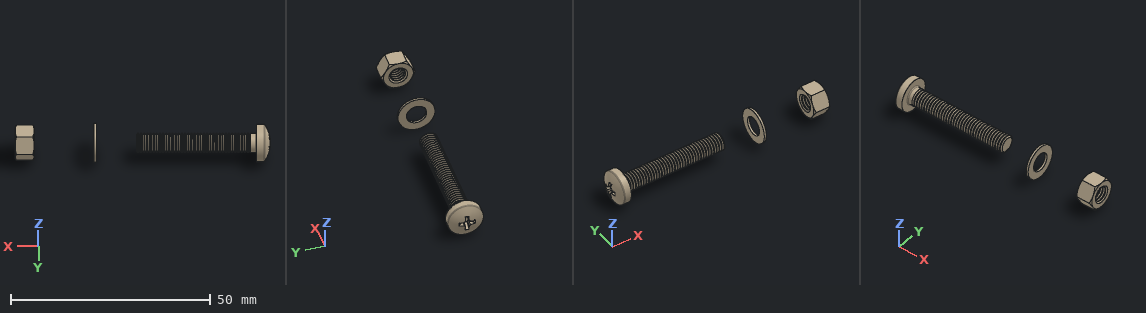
import cadquery as cq
import math

TOTAL_LENGTH = 64.1
DOME_TIP_LOSS = 0.05
START_X = -TOTAL_LENGTH / 2 - DOME_TIP_LOSS
END_X = TOTAL_LENGTH / 2

HEAD_DIAMETER = 9.5
HEAD_HEIGHT = 3.6
DOME_HEIGHT = 1.55
RIM_FILLET = 0.25
NECK_FILLET = 0.25

THREAD_DIAMETER = 4.9
SHAFT_LENGTH = 30.1
PLAIN_SHANK_LENGTH = 1.4
THREAD_DEPTH = 0.45
CREST_WIDTH = 0.2
SCREW_RING_COUNT = 36

RECESS_SPAN = 4.7
RECESS_ARM_WIDTH = 0.95
RECESS_DEPTH = 1.9
RECESS_CORE_DIAMETER = 1.9
RECESS_FLOOR_DIAMETER = 1.7
RECESS_TIP_DEPTH = 0.4

WASHER_DIAMETER = 9.8
WASHER_HOLE_DIAMETER = 5.25
WASHER_THICKNESS = 0.7
WASHER_X = START_X + 43.7

NUT_ACROSS_FLATS = 7.9
NUT_THICKNESS = 4.8
NUT_CHAMFER_ANGLE = 30.0
NUT_RING_COUNT = 6
HEXAGON_SIDES = 6

HEAD_BACK_X = START_X + HEAD_HEIGHT
SHANK_END_X = HEAD_BACK_X + PLAIN_SHANK_LENGTH
SCREW_END_X = HEAD_BACK_X + SHAFT_LENGTH
THREAD_RADIUS = THREAD_DIAMETER / 2
ROOT_RADIUS = THREAD_RADIUS - THREAD_DEPTH
PITCH = (SCREW_END_X - SHANK_END_X + CREST_WIDTH / 2) / (SCREW_RING_COUNT + 0.5)
HALF_GROOVE = (PITCH - CREST_WIDTH) / 2
NUT_X = END_X - NUT_THICKNESS
NUT_CORNER_DIAMETER = NUT_ACROSS_FLATS / math.cos(math.pi / HEXAGON_SIDES)


def revolve_about_x(profile):
    """Turn a closed (x, radius) profile around the X axis."""
    return profile.close().revolve(360, (0, 0, 0), (1, 0, 0))


def make_head():
    """Domed disc whose rim, between the dome and the cylinder, is rounded."""
    head_radius = HEAD_DIAMETER / 2
    rim_x = START_X + DOME_HEIGHT
    dome_radius = (head_radius**2 + DOME_HEIGHT**2) / (2 * DOME_HEIGHT)
    half_angle = math.asin(head_radius / dome_radius) / 2
    dome_middle = (
        START_X + dome_radius * (1 - math.cos(half_angle)),
        dome_radius * math.sin(half_angle),
    )
    profile = (
        cq.Workplane("XY")
        .moveTo(START_X, 0)
        .threePointArc(dome_middle, (rim_x, head_radius))
        .lineTo(HEAD_BACK_X, head_radius)
        .lineTo(HEAD_BACK_X, 0)
    )
    rim = cq.selectors.NearestToPointSelector((rim_x, 0, 0))
    return revolve_about_x(profile).edges(rim).fillet(RIM_FILLET)


def make_shaft():
    """Plain shank with a concave fillet under the head, then a row of thread rings with flat crests."""
    fillet_offset = NECK_FILLET * (1 - math.sqrt(0.5))
    profile = (
        cq.Workplane("XY")
        .moveTo(HEAD_BACK_X, 0)
        .lineTo(HEAD_BACK_X, THREAD_RADIUS + NECK_FILLET)
        .threePointArc(
            (HEAD_BACK_X + fillet_offset, THREAD_RADIUS + fillet_offset),
            (HEAD_BACK_X + NECK_FILLET, THREAD_RADIUS),
        )
        .lineTo(SHANK_END_X, THREAD_RADIUS)
    )
    for ring in range(SCREW_RING_COUNT):
        groove_start_x = SHANK_END_X + ring * PITCH
        profile = profile.lineTo(groove_start_x + HALF_GROOVE, ROOT_RADIUS)
        profile = profile.lineTo(groove_start_x + 2 * HALF_GROOVE, THREAD_RADIUS)
        profile = profile.lineTo(groove_start_x + PITCH, THREAD_RADIUS)
    profile = profile.lineTo(SCREW_END_X, ROOT_RADIUS)
    return revolve_about_x(profile.lineTo(SCREW_END_X, 0))


def make_recess():
    """Cross recess: two crossed wedges that narrow inwards, and a tapered core with a cone tip."""
    core_radius = RECESS_CORE_DIAMETER / 2
    floor_radius = RECESS_FLOOR_DIAMETER / 2
    floor_x = START_X + RECESS_DEPTH
    wedge = (
        cq.Workplane("XY")
        .moveTo(START_X, -RECESS_SPAN / 2)
        .lineTo(START_X, RECESS_SPAN / 2)
        .lineTo(floor_x, core_radius)
        .lineTo(floor_x, -core_radius)
        .close()
        .extrude(RECESS_ARM_WIDTH / 2, both=True)
    )
    core = revolve_about_x(
        cq.Workplane("XY")
        .moveTo(START_X, 0)
        .lineTo(START_X, core_radius)
        .lineTo(floor_x, floor_radius)
        .lineTo(floor_x + RECESS_TIP_DEPTH, 0)
    )
    return wedge.union(wedge.rotate((0, 0, 0), (1, 0, 0), 90)).union(core)


def make_screw():
    return make_head().union(make_shaft()).cut(make_recess())


def make_washer():
    return (
        cq.Workplane("YZ", origin=(WASHER_X, 0, 0))
        .circle(WASHER_DIAMETER / 2)
        .circle(WASHER_HOLE_DIAMETER / 2)
        .extrude(WASHER_THICKNESS)
    )


def make_nut_chamfer_envelope():
    """Cylinder around the hexagon, coned at both ends down to the flats' circle."""
    flats_radius = NUT_ACROSS_FLATS / 2
    corner_radius = NUT_CORNER_DIAMETER / 2
    chamfer_length = (corner_radius - flats_radius) * math.tan(math.radians(NUT_CHAMFER_ANGLE))
    return revolve_about_x(
        cq.Workplane("XY")
        .moveTo(NUT_X, 0)
        .lineTo(NUT_X, flats_radius)
        .lineTo(NUT_X + chamfer_length, corner_radius)
        .lineTo(END_X - chamfer_length, corner_radius)
        .lineTo(END_X, flats_radius)
        .lineTo(END_X, 0)
    )


def make_nut_bore():
    """Bore at the thread diameter, with flat-topped thread ridges that reach in to the root."""
    pitch = NUT_THICKNESS / NUT_RING_COUNT
    profile = cq.Workplane("XY").moveTo(NUT_X, 0).lineTo(NUT_X, THREAD_RADIUS)
    for ring in range(NUT_RING_COUNT):
        ridge_x = NUT_X + (ring + 0.5) * pitch
        profile = profile.lineTo(ridge_x - CREST_WIDTH / 2, ROOT_RADIUS)
        profile = profile.lineTo(ridge_x + CREST_WIDTH / 2, ROOT_RADIUS)
        profile = profile.lineTo(ridge_x + pitch / 2, THREAD_RADIUS)
    return revolve_about_x(profile.lineTo(END_X, 0))


def make_nut():
    """Hexagon with two corners along Y, chamfered at both ends and threaded through."""
    hexagon = (
        cq.Workplane("YZ", origin=(NUT_X, 0, 0))
        .polygon(HEXAGON_SIDES, NUT_CORNER_DIAMETER)
        .extrude(NUT_THICKNESS)
    )
    return hexagon.intersect(make_nut_chamfer_envelope()).cut(make_nut_bore())


screw = make_screw()
washer = make_washer()
nut = make_nut()

result = cq.Compound.makeCompound([screw.val(), washer.val(), nut.val()])